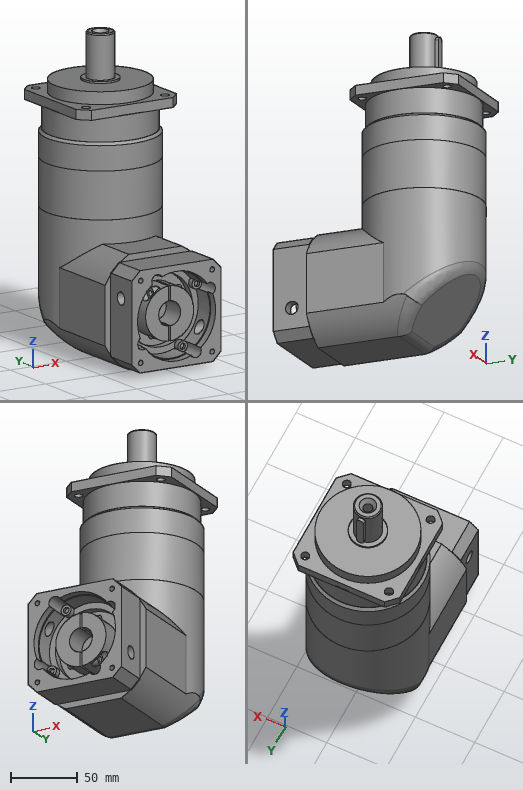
import cadquery as cq
import math


total_height = 244.5
flange_width = 90.0
barrel_radius = 47.0
total_depth = 154.0
drill_point_angle = 118.0

elbow_bottom = -flange_width / 2
shaft_top = elbow_bottom + total_height
input_face = barrel_radius - total_depth

collar_top = shaft_top - 36.0
pilot_top = shaft_top - 37.5
flange_top = shaft_top - 47.5
flange_bottom = shaft_top - 55.3
neck_bottom = shaft_top - 75.5
ring_top = shaft_top - 97.5
ring_bottom = shaft_top - 135.7

shaft_radius = 11.0
shaft_chamfer = 1.0
collar_radius = 15.0
pilot_radius = 40.0
neck_radius = 44.5
shoulder_chamfer = 2.2

flange_corner_chamfer = 8.5
flange_hole_spacing = 70.7
flange_hole_diameter = 6.5

key_width = 6.0
key_length = 32.0
key_top_gap = 2.5
key_outer = 13.5
key_inner = 8.5

center_hole_diameter = 7.3
center_hole_depth = 19.5
countersink_diameter = 13.2
countersink_depth = 3.7

elbow_corner_radius = 50.9
elbow_face = -77.3
bevel_offset = 40.3
bevel_fillet = 12.5

adapter_width = 80.0
adapter_corner_chamfer = 7.3
adapter_length = elbow_face - input_face
recess_radius = 35.0
recess_depth = 6.8
bore_radius = 34.2
bore_depth = 23.2
floor_hole_radius = 29.0
mount_hole_spacing = 64.0
mount_hole_diameter = 4.0
mount_hole_depth = 9.8
bolt_circle_radius = 34.5
bolt_first_angle = 30.0
bolt_bore_diameter = 9.8
bolt_head_diameter = 8.5
bolt_head_height = 5.0
bolt_socket_diameter = 4.6
bolt_socket_depth = 2.5
access_hole_diameter = 10.3
access_hole_y = -91.7
access_hole_z = 16.0

hub_radius = 21.5
hub_bore_radius = 9.8
hub_face = input_face + 9.8
slit_width = 1.7
screw_y = -91.0
screw_z = 16.1
screw_head_radius = 4.6
screw_pocket_radius = 5.1
screw_head_length = 6.0
screw_shank_radius = 3.2
screw_end = 13.2
socket_radius = 2.2
socket_depth = 3.0


def barrel(outline, start_plane):
    """Solid of revolution about Z; outline holds (distance outwards, z) points."""
    points = [(-distance, level) for distance, level in outline]
    return cq.Workplane(start_plane).polyline(points).close().revolve(360, (0, 0, 0), (0, 1, 0))


def input_plane(y):
    """Plane across the input axis at the given y, facing the motor."""
    return cq.Workplane("XZ", origin=(0, y, 0))


def drill_point_length(diameter):
    return diameter / 2 / math.tan(math.radians(drill_point_angle / 2))


def drilled_hole(diameter, depth):
    """Cutter for a blind hole from the input face into +Y, ending in a drill point."""
    return (
        cq.Workplane("XY")
        .polyline(
            [
                (0, input_face),
                (diameter / 2, input_face),
                (diameter / 2, input_face + depth),
                (0, input_face + depth + drill_point_length(diameter)),
            ]
        )
        .close()
        .revolve(360, (0, 0, 0), (0, 1, 0))
    )


def output_flange():
    """Square flange with cut corners and four mounting holes."""
    flange = (
        cq.Workplane("XY", origin=(0, 0, flange_bottom))
        .rect(flange_width, flange_width)
        .extrude(flange_top - flange_bottom)
        .edges("|Z")
        .chamfer(flange_corner_chamfer)
    )
    flange_holes = (
        cq.Workplane("XY", origin=(0, 0, flange_bottom))
        .rect(flange_hole_spacing, flange_hole_spacing, forConstruction=True)
        .vertices()
        .circle(flange_hole_diameter / 2)
        .extrude(flange_top - flange_bottom)
    )
    return flange.cut(flange_holes)


def shaft_key():
    """Round-ended key, sunk into the +Y side of the shaft."""
    key_middle = shaft_top - key_top_gap - key_length / 2
    return (
        cq.Workplane("XZ", origin=(0, key_outer, key_middle))
        .slot2D(key_length, key_width, 90)
        .extrude(key_outer - key_inner)
    )


def center_hole():
    """Cutter for the countersunk, drilled hole in the shaft end."""
    return barrel(
        [
            (0, shaft_top),
            (countersink_diameter / 2, shaft_top),
            (center_hole_diameter / 2, shaft_top - countersink_depth),
            (center_hole_diameter / 2, shaft_top - center_hole_depth),
            (0, shaft_top - center_hole_depth - drill_point_length(center_hole_diameter)),
        ],
        "XZ",
    )


def make_output_unit():
    """Front housing with its flange, pilot and output shaft."""
    unit = barrel(
        [
            (0, ring_top),
            (barrel_radius, ring_top),
            (barrel_radius, neck_bottom - shoulder_chamfer),
            (barrel_radius - shoulder_chamfer, neck_bottom),
            (neck_radius, neck_bottom),
            (neck_radius, flange_top),
            (pilot_radius, flange_top),
            (pilot_radius, pilot_top),
            (collar_radius, pilot_top),
            (collar_radius, collar_top),
            (shaft_radius, collar_top),
            (shaft_radius, shaft_top - shaft_chamfer),
            (shaft_radius - shaft_chamfer, shaft_top),
            (0, shaft_top),
        ],
        "XZ",
    )
    return unit.union(output_flange()).union(shaft_key()).cut(center_hole())


def make_ring():
    """Plain ring section between the front housing and the elbow."""
    outline = [(0, ring_bottom), (barrel_radius, ring_bottom), (barrel_radius, ring_top), (0, ring_top)]
    return barrel(outline, "XZ")


def bevel_cutter():
    """Wedge outside the 45 degree bevel at the outer corner of the elbow."""
    return (
        cq.Workplane("YZ", origin=(-barrel_radius, 0, 0))
        .polyline(
            [
                (bevel_offset + elbow_bottom, elbow_bottom),
                (barrel_radius, elbow_bottom),
                (barrel_radius, barrel_radius - bevel_offset),
            ]
        )
        .close()
        .extrude(2 * barrel_radius)
    )


def barrel_block(end):
    """Block around the barrel, from the input axis level to the given z."""
    return cq.Workplane("XY").rect(2 * barrel_radius, 2 * barrel_radius).extrude(end)


def make_elbow():
    """Round barrel turning into a square input section, with a rounded bevel on the outer corner."""
    column = barrel(
        [(0, elbow_bottom), (barrel_radius, elbow_bottom), (barrel_radius, ring_bottom), (0, ring_bottom)],
        "YZ",
    )
    square = input_plane(0).rect(flange_width, flange_width).extrude(-elbow_face)
    rounding = input_plane(barrel_radius).circle(elbow_corner_radius).extrude(barrel_radius - elbow_face)
    upper_column = column.intersect(barrel_block(ring_bottom))
    lower_column = column.intersect(barrel_block(elbow_bottom)).intersect(rounding)
    elbow = lower_column.union(upper_column).union(square.intersect(rounding)).clean()

    elbow = elbow.cut(bevel_cutter())
    toward_bevel = cq.selectors.DirectionMinMaxSelector(cq.Vector(0, 1, -1))
    return elbow.faces(toward_bevel).edges().fillet(bevel_fillet)


def bolt_cylinders(diameter, start, length):
    """Four cylinders on the bolt circle, running from the given y into +Y."""
    places = input_plane(start).polarArray(bolt_circle_radius, bolt_first_angle, 360, 4)
    return places.circle(diameter / 2).extrude(-length)


def make_adapter():
    """Square motor adapter with a stepped bore, sunk bolt heads and two screw access holes."""
    adapter = (
        input_plane(elbow_face)
        .rect(adapter_width, adapter_width)
        .extrude(adapter_length)
        .edges("|Y")
        .chamfer(adapter_corner_chamfer)
    )
    recess = input_plane(input_face).circle(recess_radius).extrude(-recess_depth)
    bore = input_plane(input_face).circle(bore_radius).extrude(-bore_depth)
    floor_hole = input_plane(input_face).circle(floor_hole_radius).extrude(-adapter_length)
    adapter = adapter.cut(recess).cut(bore).cut(floor_hole)

    mount_hole = drilled_hole(mount_hole_diameter, mount_hole_depth)
    for x_side in (-1, 1):
        for z_side in (-1, 1):
            place = (x_side * mount_hole_spacing / 2, 0, z_side * mount_hole_spacing / 2)
            adapter = adapter.cut(mount_hole.translate(place))

    adapter = adapter.cut(bolt_cylinders(bolt_bore_diameter, input_face, bore_depth))
    head_top = input_face + bore_depth - bolt_head_height
    adapter = adapter.union(bolt_cylinders(bolt_head_diameter, head_top, bolt_head_height))
    adapter = adapter.cut(bolt_cylinders(bolt_socket_diameter, head_top, bolt_socket_depth))

    for side in (-1, 1):
        access_hole = (
            cq.Workplane("YZ", origin=(0, access_hole_y, -side * access_hole_z))
            .circle(access_hole_diameter / 2)
            .extrude(side * adapter_width / 2)
        )
        adapter = adapter.cut(access_hole)
    return adapter


def screw_cylinder(side, radius, outer, length):
    """Cylinder on a clamp screw axis, from the given distance outside the slit inwards."""
    plane = cq.Workplane("YZ", origin=(side * outer, screw_y, -side * screw_z))
    return plane.circle(radius).extrude(-side * length)


def make_hub():
    """Slit clamp hub with two opposed clamp screws, their heads sunk in pockets."""
    hub_length = elbow_face - hub_face
    hub = input_plane(elbow_face).circle(hub_radius).extrude(hub_length)
    bore = input_plane(elbow_face).circle(hub_bore_radius).extrude(hub_length)
    slit = input_plane(elbow_face).rect(slit_width, 2 * hub_radius).extrude(hub_length)
    hub = hub.cut(slit)
    for side in (-1, 1):
        head_seat = screw_end - screw_head_length
        hub = hub.cut(screw_cylinder(side, screw_pocket_radius, hub_radius, hub_radius - head_seat))
        hub = hub.union(screw_cylinder(side, screw_shank_radius, screw_end, 2 * screw_end))
        hub = hub.union(screw_cylinder(side, screw_head_radius, screw_end, screw_head_length))
        hub = hub.cut(screw_cylinder(side, socket_radius, screw_end, socket_depth))
    return hub.cut(bore)


output_unit = make_output_unit()
ring = make_ring()
elbow = make_elbow()
adapter = make_adapter()
hub = make_hub()

result = cq.Compound.makeCompound(
    [output_unit.val(), ring.val(), elbow.val(), adapter.val(), hub.val()]
)